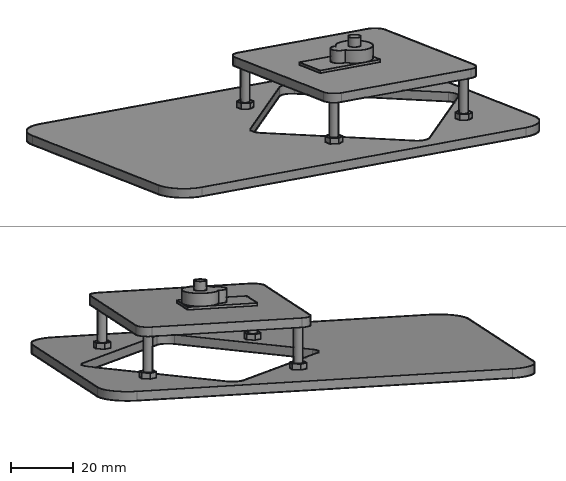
import cadquery as cq

base_width = 91.0
base_length = 145
base_corner_radius = 10.0
plate_thickness = 3.0

platform_side = 58
platform_corner_radius = 4.0
platform_center_y = 27.5
platform_bottom = 17.1
platform_top = platform_bottom + plate_thickness
window_angle = 45

post_spacing = 50.0
post_diameter = 3.0
nut_across_corners = 5.5
nut_height = 1.9

motor_width = 11.9
motor_length = 23.2
motor_height = 0.9
housing_radius = motor_width / 2
lobe_radius = 2.8
lobe_offset = housing_radius
housing_top = 25.2
shaft_diameter = 4.0
overall_height = 28.3


def rounded_plate(width, length, corner_radius, center_y, bottom, angle=0):
    """Flat plate with rounded corners, turned about its own centre."""
    return (
        cq.Workplane("XY")
        .box(width, length, plate_thickness, centered=(True, True, False))
        .edges("|Z")
        .fillet(corner_radius)
        .rotate((0, 0, 0), (0, 0, 1), angle)
        .translate((0, center_y, bottom))
    )


def platform_plane(height):
    """Horizontal workplane on the platform's vertical axis."""
    return cq.Workplane("XY", origin=(0, platform_center_y, height))


def post_layout(height):
    """Workplane holding the four post positions."""
    return platform_plane(height).rect(post_spacing, post_spacing, forConstruction=True).vertices()


def make_base():
    window = rounded_plate(
        platform_side, platform_side, platform_corner_radius, platform_center_y, 0, window_angle
    )
    return rounded_plate(base_width, base_length, base_corner_radius, 0, 0).cut(window)


def make_posts():
    posts = post_layout(plate_thickness).circle(post_diameter / 2).extrude(platform_bottom - plate_thickness)
    nuts = post_layout(plate_thickness).polygon(6, nut_across_corners).extrude(nut_height)
    return posts.union(nuts)


def make_motor():
    body = (
        platform_plane(platform_top)
        .center(0, housing_radius - motor_length / 2)
        .rect(motor_width, motor_length)
        .extrude(motor_height)
    )
    housing_height = housing_top - platform_top
    housing = platform_plane(platform_top).circle(housing_radius).extrude(housing_height)
    lobe = platform_plane(platform_top).center(0, -lobe_offset).circle(lobe_radius).extrude(housing_height)
    shaft = platform_plane(platform_top).circle(shaft_diameter / 2).extrude(overall_height - platform_top)
    return body.union(housing).union(lobe).union(shaft)


platform = rounded_plate(
    platform_side, platform_side, platform_corner_radius, platform_center_y, platform_bottom
)
result = make_base().union(make_posts()).union(platform).union(make_motor())